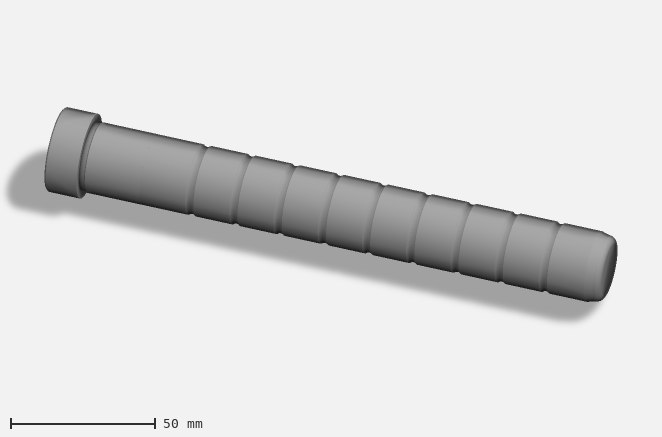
import cadquery as cq
import math

total_length = 200.0

head_diameter = 30.0
head_length = 11.8
head_chamfer = 0.5

slide_diameter = 25.0
fit_oversize = 0.05
fit_diameter = slide_diameter + fit_oversize
fit_end = 33.8

neck_diameter = 24.0
neck_end = 13.5
neck_chamfer_length = 0.5

groove_count = 9
groove_pitch = 16.0
first_groove_center = 51.8
groove_width = 3.0
groove_depth = 0.5

taper_start = 194.5
taper_end_diameter = 23.5
nose_radius = 2.5

center_hole_diameter = 3.0
center_hole_depth = 6.0
center_mouth_diameter = 5.2
center_mouth_angle = 90.0
drill_point_angle = 118.0

head_radius = head_diameter / 2
fit_radius = fit_diameter / 2
slide_radius = slide_diameter / 2
neck_radius = neck_diameter / 2


def revolve_about_x(outline):
    """Full turn of a closed outline about the pin axis."""
    return outline.revolve(360, (0, 0, 0), (1, 0, 0))


def make_body():
    """Headed pin without grooves or centre hole."""
    taper_end_radius = taper_end_diameter / 2
    nose_start = total_length - nose_radius
    end_face_radius = taper_end_radius - nose_radius
    nose_diagonal = nose_radius * math.sqrt(0.5)
    outline = (
        cq.Workplane("XY")
        .moveTo(0, 0)
        .lineTo(0, head_radius - head_chamfer)
        .lineTo(head_chamfer, head_radius)
        .lineTo(head_length, head_radius)
        .lineTo(head_length, neck_radius)
        .lineTo(neck_end, neck_radius)
        .lineTo(neck_end + neck_chamfer_length, fit_radius)
        .lineTo(fit_end, fit_radius)
        .lineTo(fit_end, slide_radius)
        .lineTo(taper_start, slide_radius)
        .lineTo(nose_start, taper_end_radius)
        .threePointArc(
            (nose_start + nose_diagonal, end_face_radius + nose_diagonal),
            (total_length, end_face_radius),
        )
        .lineTo(total_length, 0)
        .close()
    )
    return revolve_about_x(outline)


def make_groove(center_x):
    """Ring whose inner side is a shallow arc, used to cut one oil groove."""
    left = center_x - groove_width / 2
    right = center_x + groove_width / 2
    outer_radius = slide_radius + groove_depth
    outline = (
        cq.Workplane("XY")
        .moveTo(left, slide_radius)
        .threePointArc((center_x, slide_radius - groove_depth), (right, slide_radius))
        .lineTo(right, outer_radius)
        .lineTo(left, outer_radius)
        .close()
    )
    return revolve_about_x(outline)


def make_center_hole():
    """Solid filling the centre hole."""
    hole_radius = center_hole_diameter / 2
    mouth_radius = center_mouth_diameter / 2
    mouth_depth = (mouth_radius - hole_radius) / math.tan(math.radians(center_mouth_angle / 2))
    point_length = hole_radius / math.tan(math.radians(drill_point_angle / 2))
    outline = (
        cq.Workplane("XY")
        .moveTo(0, 0)
        .lineTo(0, mouth_radius)
        .lineTo(mouth_depth, hole_radius)
        .lineTo(center_hole_depth, hole_radius)
        .lineTo(center_hole_depth + point_length, 0)
        .close()
    )
    return revolve_about_x(outline)


pin = make_body()
for index in range(groove_count):
    pin = pin.cut(make_groove(first_groove_center + index * groove_pitch))

result = pin.cut(make_center_hole())